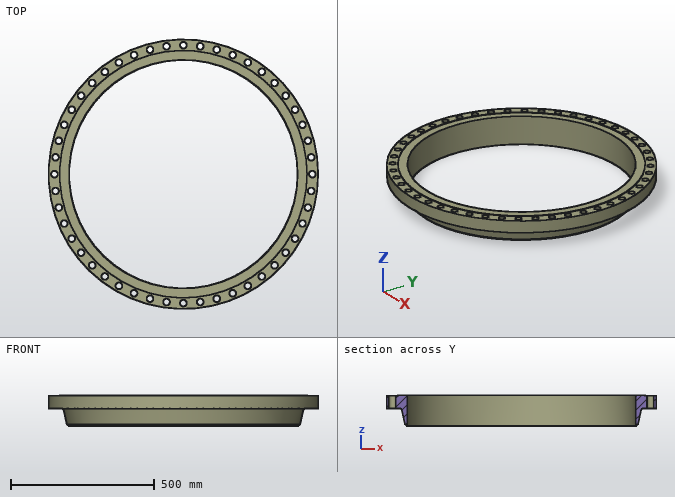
import cadquery as cq

outer_diameter = 941.0
bore_diameter = 796.0
total_height = 108.0

raised_face_diameter = 863.0
raised_face_height = 2.0
flange_thickness = 45.0
flange_top = total_height - raised_face_height
flange_bottom = flange_top - flange_thickness

hub_top_diameter = 840.0
hub_bottom_diameter = 816.0
bevel_height = 8.0
weld_land = 2.0
hub_fillet = 7.0

bolt_count = 48
bolt_circle_diameter = 900.0
bolt_hole_diameter = 23.0


def make_ring():
    """Revolve the flange, hub and raised face about Z."""
    bore_radius = bore_diameter / 2
    outer_radius = outer_diameter / 2
    raised_face_radius = raised_face_diameter / 2
    profile = (
        cq.Workplane("XZ")
        .moveTo(bore_radius, 0)
        .lineTo(bore_radius + weld_land, 0)
        .lineTo(hub_bottom_diameter / 2, bevel_height)
        .lineTo(hub_top_diameter / 2, flange_bottom)
        .lineTo(outer_radius, flange_bottom)
        .lineTo(outer_radius, flange_top)
        .lineTo(raised_face_radius, flange_top)
        .lineTo(raised_face_radius, total_height)
        .lineTo(bore_radius, total_height)
        .close()
    )
    return profile.revolve(360, (0, 0, 0), (0, 1, 0))


def round_hub_corner(ring):
    """Fillet the inside corner where the hub meets the underside of the flange."""
    flange_bottom_level = cq.selectors.BoxSelector(
        (-outer_diameter, -outer_diameter, flange_bottom - hub_fillet),
        (outer_diameter, outer_diameter, flange_bottom + hub_fillet),
    )
    hub_edge = ring.edges("%CIRCLE").edges(flange_bottom_level).edges(cq.selectors.RadiusNthSelector(0))
    return hub_edge.fillet(hub_fillet)


def drill_bolt_holes(ring):
    """Cut the evenly spaced through holes, the first one on the +X axis."""
    holes = (
        cq.Workplane("XY")
        .polarArray(bolt_circle_diameter / 2, 0, 360, bolt_count)
        .circle(bolt_hole_diameter / 2)
        .extrude(total_height)
    )
    return ring.cut(holes)


result = drill_bolt_holes(round_hub_corner(make_ring()))